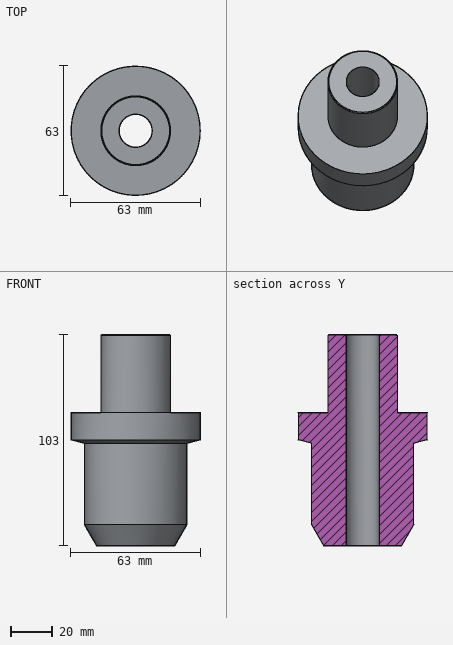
import cadquery as cq
import math

total_height = 103.0
shank_height = 50.0
flange_top = 65.0

stem_diameter = 34.0
flange_diameter = 63.0
shank_diameter = 50.0
tip_diameter = 38.0
bore_diameter = 16.0

tip_half_angle = 30.0
flange_underside_angle = 15.0
stem_chamfer = 0.5

stem_radius = stem_diameter / 2
flange_radius = flange_diameter / 2
shank_radius = shank_diameter / 2
tip_radius = tip_diameter / 2
tip_length = (shank_radius - tip_radius) / math.tan(math.radians(tip_half_angle))
underside_rise = (flange_radius - shank_radius) * math.tan(math.radians(flange_underside_angle))


def turned_body():
    """Solid of revolution: tapered tip, shank, flange and stem."""
    profile = (
        cq.Workplane("XZ")
        .moveTo(0, 0)
        .lineTo(tip_radius, 0)
        .lineTo(shank_radius, tip_length)
        .lineTo(shank_radius, shank_height)
        .lineTo(flange_radius, shank_height + underside_rise)
        .lineTo(flange_radius, flange_top)
        .lineTo(stem_radius, flange_top)
        .lineTo(stem_radius, total_height - stem_chamfer)
        .lineTo(stem_radius - stem_chamfer, total_height)
        .lineTo(0, total_height)
        .close()
    )
    return profile.revolve(360, (0, 0, 0), (0, 1, 0))


def axial_bore():
    """Cylinder that opens the part from end to end."""
    return cq.Workplane("XY").circle(bore_diameter / 2).extrude(total_height)


result = turned_body().cut(axial_bore())